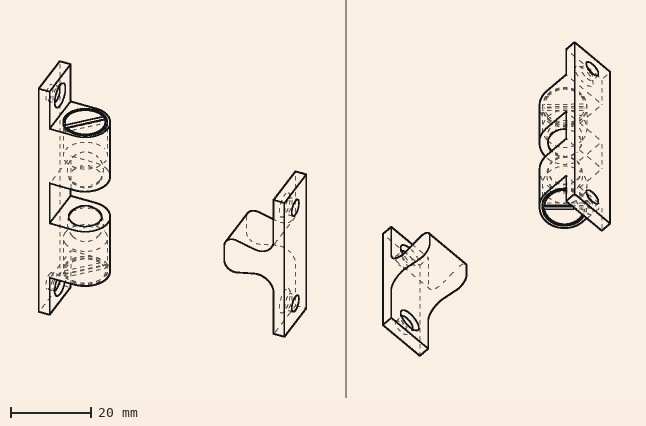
import cadquery as cq

overall_length = 67.75
plate_thickness = 3.0
screw_hole_diameter = 4.3
countersink_diameter = 6.4
countersink_angle = 90

housing_height = 70
housing_width = 12.5
housing_hole_spacing = 59.1
barrel_reach = 16.2
barrel_height = 17.1
barrel_gap = 12.5
barrel_radius = housing_width / 2
barrel_axis_x = barrel_reach - barrel_radius
barrel_inner_z = barrel_gap / 2
barrel_outer_z = barrel_inner_z + barrel_height

ball_radius = 4.5
ball_projection = 2.3
ball_mouth_radius = 4.1
ball_centre_z = barrel_inner_z - ball_projection + ball_radius

screw_radius = 5.5
screw_chamfer = 0.5
screw_inner_z = ball_centre_z + ball_radius
screw_length = barrel_outer_z - screw_inner_z
slot_width = 1.1
slot_depth = 1.1
slot_angle = 45
slot_cutter_length = 3 * screw_radius

catch_height = 42
catch_width = 13.0
catch_reach = 16.6
catch_hole_spacing = 30.0
nose_tip_half_height = 5.9
nose_root_half_height = 2.5
nose_tip_radius = 2.9
nose_root_radius = 4.35
catch_tip_x = overall_length - catch_reach
catch_face_x = overall_length - plate_thickness
selection_margin = 0.1

SIDES = (1, -1)


def mounting_plate(left_x, width, height):
    """Upright plate whose left face lies at left_x."""
    plate = cq.Workplane("XY").box(plate_thickness, width, height)
    return plate.translate((left_x + plate_thickness / 2, 0, 0))


def drill_screw_holes(body, countersunk_face, spacing):
    """Two countersunk holes through a plate, entering at the given outward-facing plane."""
    return (
        body.copyWorkplane(countersunk_face)
        .pushPoints([(0, side * spacing / 2) for side in SIDES])
        .cskHole(screw_hole_diameter, countersink_diameter, countersink_angle, plate_thickness)
    )


def make_ball(side):
    return cq.Workplane("XY").sphere(ball_radius).translate((barrel_axis_x, 0, side * ball_centre_z))


def make_barrel():
    """Upper barrel: straight flanks from the plate, ending in a half round."""
    return (
        cq.Workplane("XY", origin=(0, 0, barrel_inner_z))
        .moveTo(0, -barrel_radius)
        .lineTo(barrel_axis_x, -barrel_radius)
        .threePointArc((barrel_reach, 0), (barrel_axis_x, barrel_radius))
        .lineTo(0, barrel_radius)
        .close()
        .extrude(barrel_height)
    )


def make_screw_bore():
    """Upper bore, from the back of the ball to the outer barrel end."""
    return (
        cq.Workplane("XY", origin=(barrel_axis_x, 0, screw_inner_z))
        .circle(screw_radius)
        .extrude(screw_length)
    )


def make_ball_mouth():
    """Upper mouth, slightly wider than the ball where it emerges but narrower than the ball."""
    return (
        cq.Workplane("XY", origin=(barrel_axis_x, 0, barrel_inner_z))
        .circle(ball_mouth_radius)
        .extrude(ball_centre_z - barrel_inner_z)
    )


def mirrored_to(side, upper_shape):
    """The upper shape itself, or its mirror image below the middle plane."""
    return upper_shape if side > 0 else upper_shape.mirror("XY")


def make_housing():
    housing = mounting_plate(0, housing_width, housing_height)
    for side in SIDES:
        housing = housing.union(mirrored_to(side, make_barrel()))
    for side in SIDES:
        housing = housing.cut(mirrored_to(side, make_screw_bore()))
        housing = housing.cut(mirrored_to(side, make_ball_mouth()))
        housing = housing.cut(make_ball(side))
    countersunk_face = cq.Workplane("YZ", origin=(plate_thickness, 0, 0))
    return drill_screw_holes(housing, countersunk_face, housing_hole_spacing)


def make_adjusting_screw(side):
    slot = (
        cq.Workplane("XY")
        .box(slot_cutter_length, slot_width, 2 * slot_depth)
        .rotate((0, 0, 0), (0, 0, 1), slot_angle)
        .translate((barrel_axis_x, 0, barrel_outer_z))
    )
    screw = make_screw_bore().faces(">Z").chamfer(screw_chamfer).cut(slot)
    return mirrored_to(side, screw)


def make_catch():
    nose = (
        cq.Workplane("XZ")
        .moveTo(catch_tip_x, -nose_tip_half_height)
        .lineTo(catch_face_x, -nose_root_half_height)
        .lineTo(catch_face_x, nose_root_half_height)
        .lineTo(catch_tip_x, nose_tip_half_height)
        .close()
        .extrude(catch_width / 2, both=True)
        .edges("|Y and <X")
        .fillet(nose_tip_radius)
    )
    root_box = cq.selectors.BoxSelector(
        (catch_face_x - selection_margin, -catch_width, -nose_tip_half_height),
        (catch_face_x + selection_margin, catch_width, nose_tip_half_height),
    )
    catch = (
        mounting_plate(catch_face_x, catch_width, catch_height)
        .union(nose)
        .edges(root_box)
        .edges("|Y")
        .fillet(nose_root_radius)
    )
    countersunk_face = cq.Workplane("YZ", origin=(catch_face_x, 0, 0)).transformed(rotate=(0, 180, 0))
    return drill_screw_holes(catch, countersunk_face, catch_hole_spacing)


housing = make_housing()
balls = [make_ball(side).val() for side in SIDES]
adjusting_screws = [make_adjusting_screw(side).val() for side in SIDES]
catch = make_catch()

result = cq.Compound.makeCompound([housing.val(), *balls, *adjusting_screws, catch.val()])